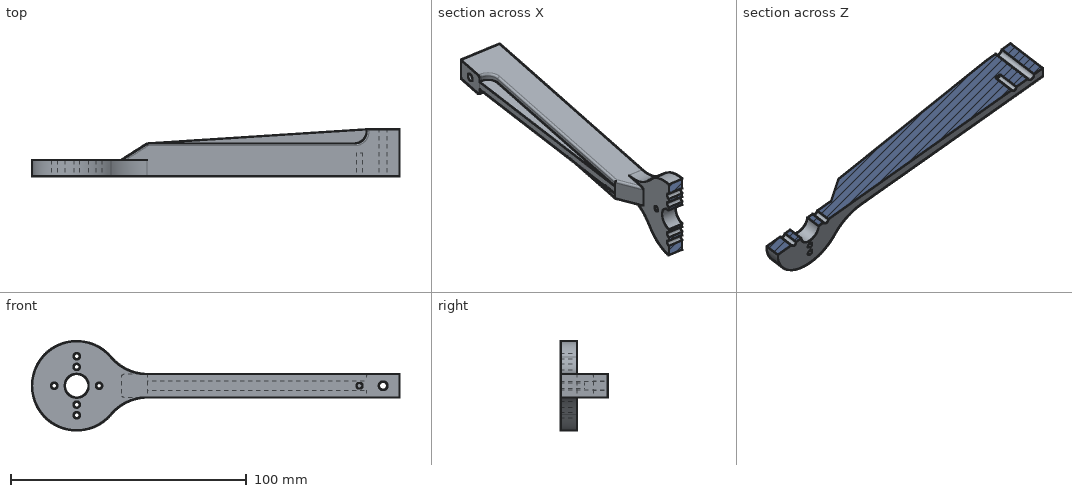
import cadquery as cq
import math

head_radius = 19.0
head_thickness = 7.0
center_bore_diameter = 10.0
head_hole_diameter = 2.5
head_holes_x = 9.5
head_holes_z = (8.0, 12.5)

bar_end_x = 137.0
bar_width = 10.0
bar_depth = 20.0
neck_radius = 20.0

ramp_foot_x = 19.0
ramp_top_x = 30.0
ledge_y = 14.0
web_width = 4.0
ledge_end_x = 123.0
ledge_corner_radius = 5.0
edge_round = 1.0

end_hole_x = 130.0
end_hole_diameter = 3.5
blind_hole_x = 120.0
blind_hole_diameter = 2.5
blind_hole_depth = 10.0

half_bar = bar_width / 2
side_signs = (1, -1)


def make_plate():
    """Round head blended into the bar width by two concave neck arcs."""
    neck_center_z = half_bar + neck_radius
    center_distance = head_radius + neck_radius
    neck_end_x = math.sqrt(center_distance**2 - neck_center_z**2)
    tangent_x = neck_end_x * head_radius / center_distance
    tangent_z = neck_center_z * head_radius / center_distance

    neck_tilt = math.atan2(neck_end_x, neck_center_z) / 2
    neck_mid_x = neck_end_x - neck_radius * math.sin(neck_tilt)
    neck_mid_z = neck_center_z - neck_radius * math.cos(neck_tilt)

    return (
        cq.Workplane("XZ")
        .moveTo(neck_end_x, half_bar)
        .threePointArc((neck_mid_x, neck_mid_z), (tangent_x, tangent_z))
        .threePointArc((-head_radius, 0), (tangent_x, -tangent_z))
        .threePointArc((neck_mid_x, -neck_mid_z), (neck_end_x, -half_bar))
        .close()
        .extrude(-head_thickness)
    )


def make_side_pocket(side):
    """Volume removed beside the web on one side, leaving a ledge with a round end corner."""
    corner_center_x = ledge_end_x - ledge_corner_radius
    corner_center_y = ledge_y + ledge_corner_radius
    corner_offset = ledge_corner_radius * math.sqrt(0.5)
    pocket_width = (bar_width - web_width) / 2
    pocket_center_z = side * (half_bar - pocket_width / 2)
    return (
        cq.Workplane("XY", origin=(0, 0, pocket_center_z))
        .moveTo(ramp_top_x, ledge_y)
        .lineTo(corner_center_x, ledge_y)
        .threePointArc(
            (corner_center_x + corner_offset, corner_center_y - corner_offset),
            (ledge_end_x, corner_center_y),
        )
        .lineTo(ledge_end_x, bar_depth)
        .lineTo(ramp_top_x, bar_depth)
        .close()
        .extrude(pocket_width / 2, both=True)
    )


def make_bar():
    """Bar with ramp, web and ledges; the ramp continues down inside the head plate."""
    ramp_run_per_rise = (ramp_top_x - ramp_foot_x) / (ledge_y - head_thickness)
    ramp_base_x = ramp_top_x - ledge_y * ramp_run_per_rise
    bar = (
        cq.Workplane("XY")
        .polyline(
            [
                (ramp_base_x, 0),
                (bar_end_x, 0),
                (bar_end_x, bar_depth),
                (ledge_end_x, bar_depth),
                (ramp_top_x, ledge_y),
            ]
        )
        .close()
        .extrude(half_bar, both=True)
    )
    for side in side_signs:
        bar = bar.cut(make_side_pocket(side))
    return round_outer_edges(bar)


def round_outer_edges(bar):
    """Round the outer side edges of the ramp, the ledges and their end walls."""
    margin = 0.1
    for side in side_signs:
        side_z = side * half_bar
        outer_edges = cq.selectors.BoxSelector(
            (-head_radius, margin, side_z - margin),
            (ledge_end_x + margin, bar_depth - margin, side_z + margin),
        )
        bar = bar.edges(outer_edges).fillet(edge_round)
    return bar


def make_hole(x, z, diameter, depth):
    """Round cutter entering from the flat front face at Y = 0."""
    return cq.Workplane("XZ").center(x, z).circle(diameter / 2).extrude(-depth)


def cut_holes(body):
    """Cut the bore and bolt holes in the head and the two holes at the free end."""
    body = body.cut(make_hole(0, 0, center_bore_diameter, head_thickness))
    for side in side_signs:
        positions = [(side * head_holes_x, 0)] + [(0, side * z) for z in head_holes_z]
        for x, z in positions:
            body = body.cut(make_hole(x, z, head_hole_diameter, head_thickness))
    body = body.cut(make_hole(end_hole_x, 0, end_hole_diameter, bar_depth))
    return body.cut(make_hole(blind_hole_x, 0, blind_hole_diameter, blind_hole_depth))


result = cut_holes(make_plate().union(make_bar()))